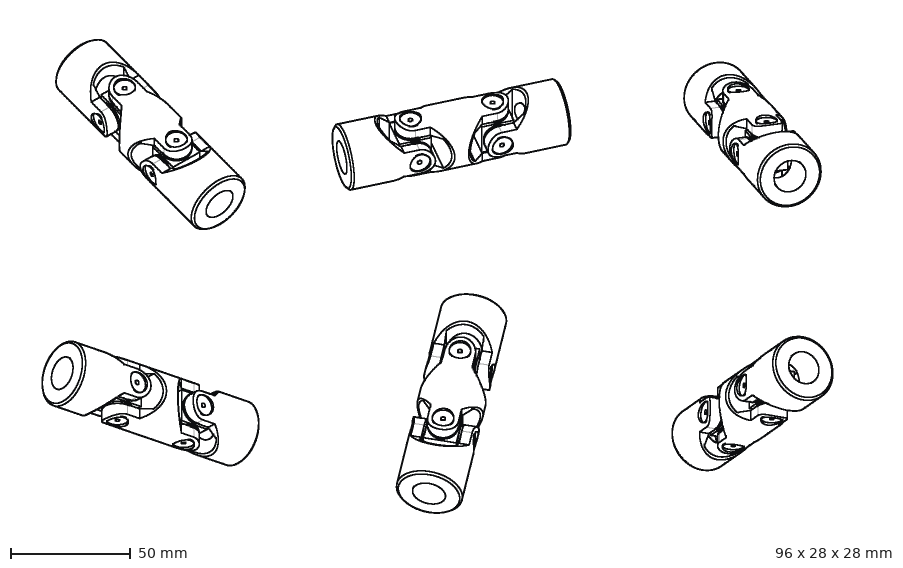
import cadquery as cq

overall_length = 96.0
body_diameter = 28.0
pin_spacing = 36.0
end_chamfer = 1.0
bore_diameter = 14.0

prong_width = 13.1
prong_straight = 6.6
shoulder_length = 8.4
slot_width = 15.9
slot_radius = 12.7
slot_depth = 13.9

block_size = 14.0
collar_diameter = 12.5
pin_diameter = 9.0
pin_reach = 12.9
center_hole_diameter = 1.8
center_hole_depth = 1.9

body_radius = body_diameter / 2
prong_radius = prong_width / 2
pin_radius = pin_diameter / 2
joint_x = pin_spacing / 2
end_yoke_length = overall_length / 2 - joint_x

x_axis = ((0, 0, 0), (1, 0, 0))
z_axis = ((0, 0, 0), (0, 0, 1))


def fork(length):
    """Fork with its joint centre at the origin, prongs at +Z and -Z, body ending at x = length."""
    body = (
        cq.Workplane("YZ")
        .workplane(offset=-prong_radius)
        .circle(body_radius)
        .extrude(prong_radius + length)
    )

    shoulder_end = prong_straight + shoulder_length
    plan = (
        cq.Workplane("XY")
        .workplane(offset=-body_radius)
        .moveTo(0, prong_radius)
        .lineTo(prong_straight, prong_radius)
        .lineTo(shoulder_end, body_radius)
        .lineTo(length, body_radius)
        .lineTo(length, -body_radius)
        .lineTo(shoulder_end, -body_radius)
        .lineTo(prong_straight, -prong_radius)
        .lineTo(0, -prong_radius)
        .threePointArc((-prong_radius, 0), (0, prong_radius))
        .close()
        .extrude(body_diameter)
    )

    slot_disc = (
        cq.Workplane("XZ")
        .center(slot_depth - slot_radius, 0)
        .circle(slot_radius)
        .extrude(body_radius, both=True)
    )
    slot = cq.Workplane("XY").box(2 * slot_depth, body_diameter, slot_width).intersect(slot_disc)
    pin_holes = cq.Workplane("XY").circle(pin_radius).extrude(body_radius, both=True)
    return body.intersect(plan).cut(slot).cut(pin_holes)


def end_yoke():
    """Bored and chamfered shaft end, in the same position as fork()."""
    bore = cq.Workplane("YZ").circle(bore_diameter / 2).extrude(end_yoke_length)
    return fork(end_yoke_length).faces(">X").edges().chamfer(end_chamfer).cut(bore)


def middle_yoke():
    """Solid link with a fork at each end, centred on the origin."""
    left_half = fork(joint_x).translate((-joint_x, 0, 0))
    return left_half.union(left_half.rotate(*z_axis, 180))


def cross():
    """Square block with a collar, pin and centre hole on each of its four arms along Y and Z."""
    spider = cq.Workplane("XY").box(block_size, block_size, block_size)
    for plane in ("XY", "XZ"):
        collars = cq.Workplane(plane).circle(collar_diameter / 2).extrude(slot_width / 2, both=True)
        pins = cq.Workplane(plane).circle(pin_radius).extrude(pin_reach, both=True)
        spider = spider.union(collars).union(pins)
    for plane in ("XY", "XZ"):
        for side in (1, -1):
            center_hole = (
                cq.Workplane(plane)
                .workplane(offset=side * pin_reach)
                .circle(center_hole_diameter / 2)
                .extrude(-side * center_hole_depth)
            )
            spider = spider.cut(center_hole)
    return spider


bodies = [middle_yoke().solids().val()]
for side, half_turn in ((1, 0), (-1, 180)):
    yoke = end_yoke().rotate(*x_axis, 90).rotate(*z_axis, half_turn).translate((side * joint_x, 0, 0))
    bodies.append(yoke.solids().val())
    bodies.append(cross().translate((side * joint_x, 0, 0)).solids().val())

result = cq.Compound.makeCompound(bodies)